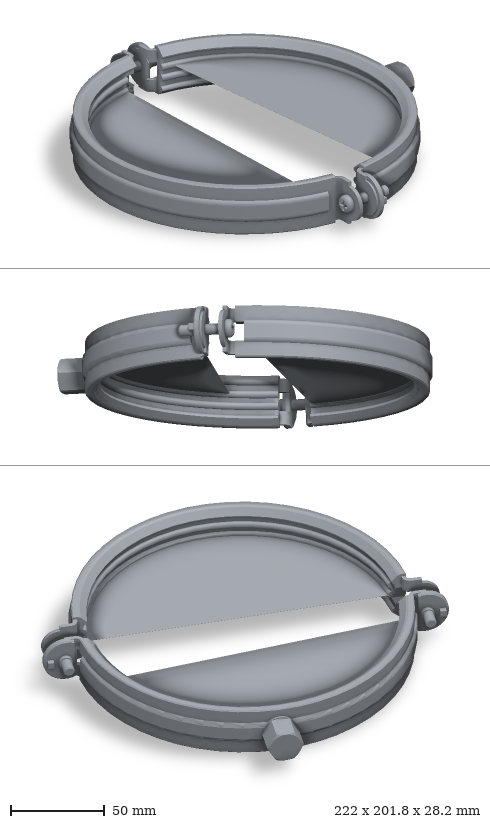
import cadquery as cq
import math

half_separation = 0.7

liner_width = 28.2
liner_radius = 92.0
rim_chamfer = 0.7
rim_inner_radius = 88.5
lip_inner_radius = 87.2
lip_height = 13.5
lip_edge_height = 10.2
end_angle = 5.8

bead_radius = 93.5
bead_flat = 7.3
bead_width = 12.5
bead_edge_radius = 3.0
bead_end_y = 14.5

rib_pitch = 6.5
upper_rib_z = rib_pitch / 2
lower_rib_z = -upper_rib_z
rib_height = 2.0
rib_crest_radius = 83.7
valley_radius = rib_crest_radius + rib_height

web_thickness = 0.1
upper_web_chord = (16.5, 34.9)
lower_web_chord = (-14.2, -9.3)

strap_width = 25.0
strap_thickness = 2.2
strap_outer_x = 91.0
lug_gap = 8.5
lug_end_radius = 10.0
bend_radius = 4.2
strap_end_y = 10.2
window_width = 10.5
bend_window_x = 92.4
slot_inner_x = 80
slot_outer_x = 95.5

screw_x = 99.0
screw_diameter = 6.0
screw_tip_y = 19.3
screw_chamfer = 0.7
head_diameter = 10.0
head_height = 3.8
head_rounding = 2.2
recess_length = 6.7
recess_arm_width = 2.0
recess_depth = 2.7

retainer_reach = 111.0
retainer_radius = 12.7
retainer_inner_x = 94.1
retainer_thickness = 2.0
retainer_chamfer = 0.7
skirt_depth = 1.0
collar_diameter = 7.3
collar_height = 2.2
tab_length = 3.3
tab_width = 3.5
tab_height = 2.9

nut_corners = 20.0
nut_bottom_y = 94.0
nut_top_y = 108.3
nut_end_diameter = 17.0
nut_chamfer_height = 1.0
neck_diameter = 18.5

lug_inner_y = lug_gap / 2
lug_end_x = screw_x + lug_end_radius
lug_outer_y = lug_inner_y + strap_thickness
strap_inner_x = strap_outer_x - strap_thickness


def revolve_half(profile, start_angle):
    """Revolve an (r, z) profile around Z from start_angle to its mirror angle, on the +Y side."""
    sweep = 180 - 2 * start_angle
    turned = profile.revolve(sweep, (0, 0, 0), (0, 1, 0))
    return turned.rotate((0, 0, 0), (0, 0, 1), start_angle)


def y_cylinder(x, diameter, y_start, y_end):
    """Cylinder along Y."""
    disc = cq.Workplane("XZ", origin=(x, y_start, 0)).circle(diameter / 2)
    return disc.extrude(y_start - y_end)


def box(x_range, y_range, z_width):
    """Box between two X and two Y places, centred on Z = 0."""
    size_x = x_range[1] - x_range[0]
    size_y = y_range[1] - y_range[0]
    center = (sum(x_range) / 2, sum(y_range) / 2, 0)
    return cq.Workplane("XY").box(size_x, size_y, z_width).translate(center)


def half_ring():
    """Strap and liner of the +Y half, with the sealing ribs and the raised bead."""
    half_width = liner_width / 2
    liner_profile = (
        cq.Workplane("XZ")
        .moveTo(rib_crest_radius, -lip_edge_height)
        .lineTo(lip_inner_radius, -lip_height)
        .lineTo(rim_inner_radius, -half_width)
        .lineTo(liner_radius - rim_chamfer, -half_width)
        .lineTo(liner_radius, -half_width + rim_chamfer)
        .lineTo(liner_radius, half_width - rim_chamfer)
        .lineTo(liner_radius - rim_chamfer, half_width)
        .lineTo(rim_inner_radius, half_width)
        .lineTo(lip_inner_radius, lip_height)
        .lineTo(rib_crest_radius, lip_edge_height)
        .radiusArc((valley_radius, lip_edge_height - rib_height), -rib_height)
    )
    for rib_z in (upper_rib_z, lower_rib_z):
        liner_profile = (
            liner_profile.lineTo(valley_radius, rib_z + rib_height)
            .threePointArc((rib_crest_radius, rib_z), (valley_radius, rib_z - rib_height))
        )
    liner_profile = (
        liner_profile.lineTo(valley_radius, -lip_edge_height + rib_height)
        .radiusArc((rib_crest_radius, -lip_edge_height), -rib_height)
        .close()
    )

    bead_profile = (
        cq.Workplane("XZ")
        .moveTo(lip_inner_radius, -bead_width / 2)
        .lineTo(liner_radius, -bead_width / 2)
        .radiusArc((bead_radius, -bead_flat / 2), -bead_edge_radius)
        .lineTo(bead_radius, bead_flat / 2)
        .radiusArc((liner_radius, bead_width / 2), -bead_edge_radius)
        .lineTo(lip_inner_radius, bead_width / 2)
        .close()
    )
    bead_angle = math.degrees(math.asin(bead_end_y / bead_radius))
    return revolve_half(liner_profile, end_angle).union(revolve_half(bead_profile, bead_angle))


def lug():
    """Bent strap end on the +X, +Y side."""
    inside_bend_radius = bend_radius - strap_thickness
    bent = (
        cq.Workplane("XY")
        .moveTo(strap_outer_x, strap_end_y)
        .lineTo(strap_outer_x, lug_outer_y + inside_bend_radius)
        .radiusArc((strap_outer_x + inside_bend_radius, lug_outer_y), -inside_bend_radius)
        .lineTo(screw_x, lug_outer_y)
        .lineTo(screw_x, lug_inner_y)
        .lineTo(strap_inner_x + bend_radius, lug_inner_y)
        .radiusArc((strap_inner_x, lug_inner_y + bend_radius), bend_radius)
        .lineTo(strap_inner_x, strap_end_y)
        .close()
        .extrude(strap_width / 2, both=True)
    )
    return bent.union(y_cylinder(screw_x, 2 * lug_end_radius, lug_inner_y, lug_outer_y))


def window(inner_x, outer_x):
    """Opening on the +X side, through the strap and its bend between two X places."""
    return box((inner_x, outer_x), (0, bead_end_y), window_width)


def clamp_half():
    """Half ring with its two lugs, on the +Y side."""
    return half_ring().union(lug()).union(lug().mirror("YZ"))


def web(chord, side, rib_z):
    """Thin plate filling the half on the given side (+1 or -1 along Y) of a slanted chord,
    level with the sealing rib at rib_z."""
    left_y, right_y = chord
    slope = (right_y - left_y) / (2 * rib_crest_radius)
    middle_y = (left_y + right_y) / 2
    reach = liner_radius
    beyond = (
        cq.Workplane("XY")
        .polyline([
            (-reach, middle_y - slope * reach),
            (reach, middle_y + slope * reach),
            (reach, side * reach),
            (-reach, side * reach),
        ])
        .close()
        .extrude(web_thickness)
    )
    disc = cq.Workplane("XY").circle(valley_radius).extrude(web_thickness)
    return disc.intersect(beyond).translate((0, 0, rib_z - web_thickness / 2))


def screw():
    """Screw on the +X side, its rounded head with a cross recess against the lower lug."""
    head_top_y = -lug_outer_y
    head_end_y = head_top_y - head_height
    shank = y_cylinder(screw_x, screw_diameter, head_top_y, screw_tip_y)
    shank = shank.faces(">Y").chamfer(screw_chamfer)
    head = y_cylinder(screw_x, head_diameter, head_end_y, head_top_y)
    head = head.faces("<Y").edges().fillet(head_rounding)
    arm = cq.Workplane("XY").box(recess_length, recess_depth, recess_arm_width)
    cross = arm.union(arm.rotate((0, 0, 0), (0, 1, 0), 90))
    cross = cross.translate((screw_x, head_end_y + recess_depth / 2, 0))
    return shank.union(head).cut(cross)


def retainer():
    """Nut retainer on the +X side: plate, skirt over the lug end, collar and tab."""
    top_y = lug_outer_y + retainer_thickness
    round_x = retainer_reach - retainer_radius
    skirt_y = lug_outer_y - skirt_depth
    disc = y_cylinder(round_x, 2 * retainer_radius, skirt_y, top_y)
    disc = disc.faces(">Y").chamfer(retainer_chamfer)
    skirt = disc.intersect(box((screw_x, retainer_reach), (skirt_y, top_y), liner_width))
    plate = disc.intersect(box((retainer_inner_x, retainer_reach), (lug_outer_y, top_y), liner_width))
    collar = y_cylinder(screw_x, collar_diameter, top_y, top_y + collar_height)
    tab = box((lug_end_x - tab_length, lug_end_x), (top_y, top_y + tab_height), tab_width)
    return plate.union(skirt).union(collar).union(tab)


def connecting_nut():
    """Hexagonal nut with both ends chamfered, on a round neck joined to the ring."""
    corner_radius = nut_corners / 2
    end_radius = nut_end_diameter / 2
    hexagon = cq.Workplane("XZ", origin=(0, nut_bottom_y, 0)).polygon(6, nut_corners)
    hexagon = hexagon.extrude(nut_bottom_y - nut_top_y)
    turned = (
        cq.Workplane("XY")
        .moveTo(0, nut_bottom_y)
        .lineTo(end_radius, nut_bottom_y)
        .lineTo(corner_radius, nut_bottom_y + nut_chamfer_height)
        .lineTo(corner_radius, nut_top_y - nut_chamfer_height)
        .lineTo(end_radius, nut_top_y)
        .lineTo(0, nut_top_y)
        .close()
        .revolve(360, (0, 0, 0), (0, 1, 0))
    )
    neck = y_cylinder(0, neck_diameter, rim_inner_radius, nut_bottom_y)
    return hexagon.intersect(turned).union(neck)


upper_half = clamp_half()
bend_window = window(strap_inner_x, bend_window_x)
upper_half = upper_half.cut(bend_window).cut(bend_window.mirror("YZ"))
upper_half = upper_half.union(retainer()).union(retainer().mirror("YZ"))
upper_half = upper_half.translate((0, half_separation, 0))
upper_half = upper_half.union(web(upper_web_chord, 1, upper_rib_z))

lower_half = clamp_half().cut(window(slot_inner_x, slot_outer_x)).rotate((0, 0, 0), (0, 0, 1), 180)
lower_half = lower_half.union(web(lower_web_chord, -1, lower_rib_z))

result = upper_half.union(lower_half).union(connecting_nut())
result = result.union(screw()).union(screw().mirror("YZ"))